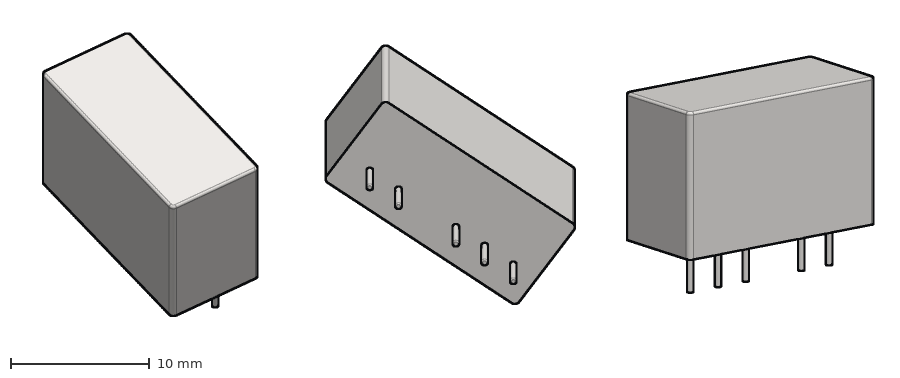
import cadquery as cq

housing_length = 17.0
housing_width = 7.62
overall_height = 14.2
pin_length = 3.21
housing_height = overall_height - pin_length
corner_radius = 0.39
top_edge_radius = 0.2

pin_diameter = 0.5
pin_tip_radius = 0.1
pin_pitch = 2.53
first_pin_x = -6.19
pin_row_y = 1.3
pin_positions = [0, 1, 3, 4, 5]


def make_housing():
    """Block with rounded upright corners and a rounded top rim."""
    block = cq.Workplane("XY").box(
        housing_length, housing_width, housing_height, centered=(True, True, False)
    )
    return block.edges("|Z").fillet(corner_radius).faces(">Z").edges().fillet(top_edge_radius)


def make_pin(x, y):
    """Round pin hanging from the housing underside, with a rounded tip."""
    pin = cq.Workplane("XY").center(x, y).circle(pin_diameter / 2).extrude(-pin_length)
    return pin.faces("<Z").edges().fillet(pin_tip_radius)


housing = make_housing()

pins = []
for position in pin_positions:
    pin_x = first_pin_x + position * pin_pitch
    pins.append(make_pin(pin_x, pin_row_y).val())

result = cq.Compound.makeCompound([housing.val(), *pins])